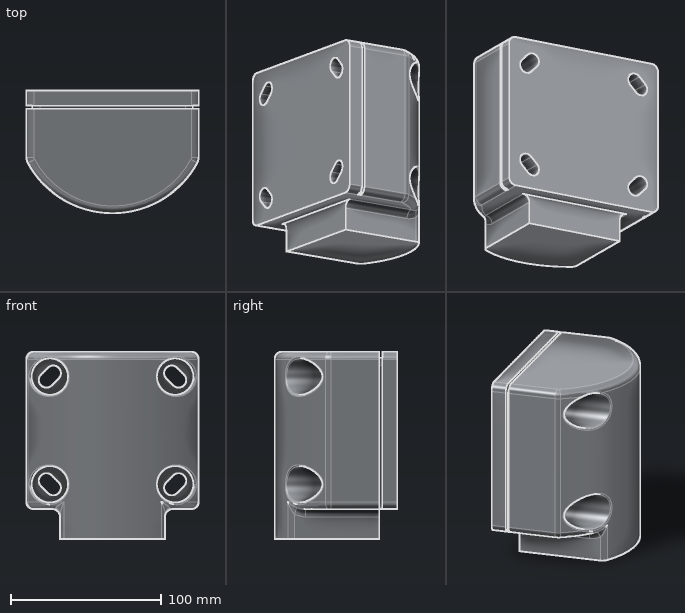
import cadquery as cq
import math

width = 115.0
depth = 81.9
height = 125.0
edge_radius = 5.0

front_radius = 64.2
front_center_y = front_radius - depth
side_blend_radius = 8.0

neck_height = 20.0
body_height = height - neck_height
body_mid_z = neck_height + body_height / 2
plate_thickness = 10.0
gap = 2.0
body_back_y = -(plate_thickness + gap)
gap_inset = 4.0

neck_width = 70.0
neck_corner_radius = 5.0
junction_radius = 5.0

hole_x = 41.8
hole_pitch_z = 71.8
bore_radius = 12.1
bore_lip_radius = 1.0
bore_floor_thickness = 12.5
bore_floor_y = body_back_y - bore_floor_thickness
slot_width = 10.0
slot_length = 16.5
slot_angle = 45.0

clearance = 0.1


def front_arc_prism(block_width, blend_radius, z_low, z_high):
    """Upright block with flat sides, a front arc and rounded corners between them."""
    half = block_width / 2
    blend_x = half - blend_radius
    inner_radius = front_radius - blend_radius
    blend_y = front_center_y - math.sqrt(inner_radius**2 - blend_x**2)
    tangent_x = blend_x * front_radius / inner_radius
    tangent_y = front_center_y + (blend_y - front_center_y) * front_radius / inner_radius
    return (
        cq.Workplane("XY", origin=(0, 0, z_low))
        .moveTo(-half, body_back_y)
        .lineTo(half, body_back_y)
        .lineTo(half, blend_y)
        .tangentArcPoint((tangent_x, tangent_y), relative=False)
        .threePointArc((0, -depth), (-tangent_x, tangent_y))
        .tangentArcPoint((-half, blend_y), relative=False)
        .close()
        .extrude(z_high - z_low)
    )


def make_housing():
    """Round-fronted body with its neck, rounded end faces and filleted junction."""
    body = front_arc_prism(width, side_blend_radius, neck_height, height)
    outline_edges = cq.selectors.BoxSelector(
        (-width, body_back_y - clearance, 0),
        (width, -2 * depth, 2 * height),
    )
    body = body.faces("<Z or >Z").edges(outline_edges).fillet(edge_radius)

    neck = front_arc_prism(neck_width, neck_corner_radius, 0, body_mid_z)
    housing = body.union(neck)
    neck_half = neck_width / 2 + clearance
    junction_edges = cq.selectors.BoxSelector(
        (-neck_half, body_back_y + clearance, neck_height - clearance),
        (neck_half, -depth, neck_height + edge_radius + clearance),
        boundingbox=True,
    )
    return housing.edges(junction_edges).fillet(junction_radius)


def make_back_plate():
    """Rectangular rear plate with rounded corners."""
    return (
        cq.Workplane("XZ", origin=(0, 0, body_mid_z))
        .rect(width, body_height)
        .extrude(plate_thickness)
        .edges("|Y")
        .fillet(edge_radius)
    )


def make_gap_web():
    """Recessed web joining plate and housing, set in at the top and both sides."""
    web_height = body_height - gap_inset
    return (
        cq.Workplane("XZ", origin=(0, -plate_thickness, neck_height + web_height / 2))
        .rect(width - 2 * gap_inset, web_height)
        .extrude(gap)
        .edges("|Y and >Z")
        .fillet(edge_radius)
    )


def hole_center(x_side, z_side):
    """X and Z of the hole in the given quadrant."""
    return x_side * hole_x, body_mid_z + z_side * hole_pitch_z / 2


def cut_bore(part, x_side, z_side):
    """Cut one flat-bottomed bore from the front and round its rim."""
    x, z = hole_center(x_side, z_side)
    bore = (
        cq.Workplane("XZ", origin=(x, bore_floor_y, z))
        .circle(bore_radius)
        .extrude(depth)
    )
    reach = bore_radius + clearance
    front_corner = (x + reach, -depth, z + reach)
    wall_face = cq.selectors.BoxSelector(
        (x - reach, bore_floor_y + clearance, z - reach), front_corner, boundingbox=True
    )
    rim_edges = cq.selectors.BoxSelector(
        (x - reach, bore_floor_y - clearance, z - reach), front_corner, boundingbox=True
    )
    return part.cut(bore).faces(wall_face).edges(rim_edges).fillet(bore_lip_radius)


def cut_slot(part, x_side, z_side):
    """Cut one through slot, crossing the diagonal to the body centre."""
    x, z = hole_center(x_side, z_side)
    slot = (
        cq.Workplane("XZ", origin=(x, 0, z))
        .slot2D(slot_length, slot_width, x_side * z_side * -slot_angle)
        .extrude(depth)
    )
    return part.cut(slot)


result = make_housing().union(make_back_plate()).union(make_gap_web())
for x_side in (-1, 1):
    for z_side in (-1, 1):
        result = cut_bore(result, x_side, z_side)
        result = cut_slot(result, x_side, z_side)